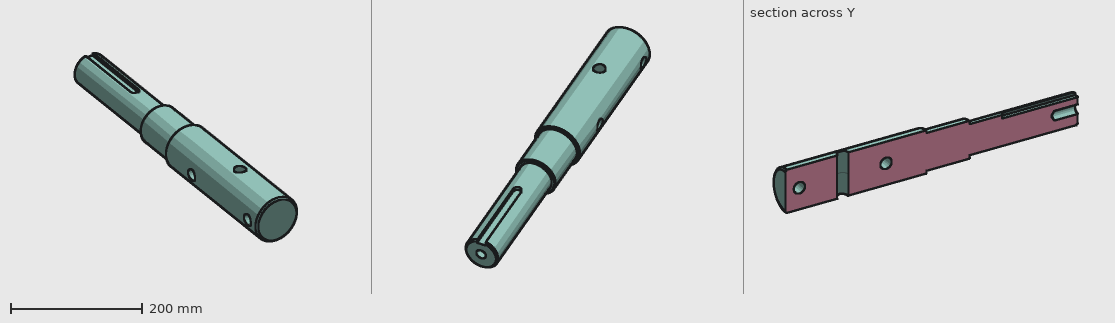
import cadquery as cq
import math

length = 515.5
journal_end = 190.0
collar_end = 266.0
journal_diameter = 55.0
collar_diameter = 67.0
body_diameter = 76.5
end_chamfer = 2.5
shoulder_chamfer = 1.5
body_end_chamfer = 3.0

key_width = 14.0
key_length = 133.0
key_depth = 6.0

cross_hole_diameter = 19.0
first_hole_x = 337.5
hole_pitch = 76.5

center_hole_diameter = 16.0
center_hole_depth = 41.0
drill_point_angle = 118.0


def cylinder(start, end, diameter):
    return cq.Workplane("YZ", origin=(start, 0, 0)).circle(diameter / 2).extrude(end - start)


def stepped_shaft():
    journal = cylinder(0, journal_end, journal_diameter).faces("<X").chamfer(end_chamfer)
    collar = cylinder(journal_end, collar_end, collar_diameter).faces("<X").chamfer(shoulder_chamfer)
    body = cylinder(collar_end, length, body_diameter)
    body = body.faces("<X").chamfer(shoulder_chamfer).faces(">X").chamfer(body_end_chamfer)
    return journal.union(collar).union(body)


def keyway():
    half_width = key_width / 2
    floor_z = journal_diameter / 2 - key_depth
    return (
        cq.Workplane("XY", origin=(0, 0, floor_z))
        .moveTo(0, -half_width)
        .lineTo(key_length - half_width, -half_width)
        .threePointArc((key_length, 0), (key_length - half_width, half_width))
        .lineTo(0, half_width)
        .close()
        .extrude(body_diameter)
    )


def cross_hole(index):
    x = first_hole_x + index * hole_pitch
    plane = "XZ" if index % 2 == 0 else "XY"
    return (
        cq.Workplane(plane, origin=(x, 0, 0))
        .circle(cross_hole_diameter / 2)
        .extrude(body_diameter, both=True)
    )


def center_hole():
    radius = center_hole_diameter / 2
    point_depth = radius / math.tan(math.radians(drill_point_angle / 2))
    return (
        cq.Workplane("XY")
        .lineTo(0, radius)
        .lineTo(center_hole_depth, radius)
        .lineTo(center_hole_depth + point_depth, 0)
        .close()
        .revolve(360, (0, 0, 0), (1, 0, 0))
    )


result = stepped_shaft().cut(keyway()).cut(center_hole())
for hole_index in range(3):
    result = result.cut(cross_hole(hole_index))